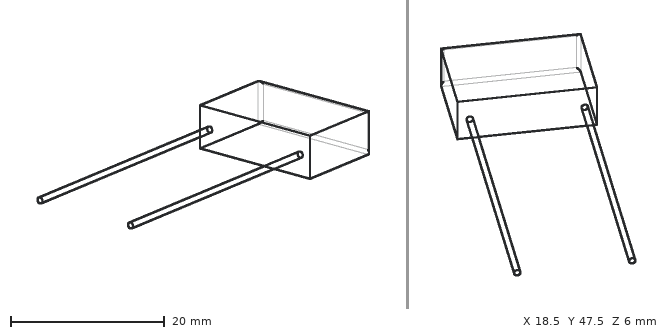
import cadquery as cq

overall_length = 47.5
case_width = 18.5
case_depth = 12.5
case_height = 6.0
back_edge_radius = 0.48

lead_diameter = 0.85
lead_pitch = 15.2
lead_length = overall_length - case_depth


def make_case():
    """Rectangular case with its front face on Y = 0 and the rim of its back face rounded."""
    case = cq.Workplane("XY").box(case_width, case_depth, case_height, centered=(True, False, True))
    return case.faces(">Y").edges().fillet(back_edge_radius)


def make_lead(x):
    """Straight round wire running from the front face of the case toward -Y."""
    return cq.Workplane("XZ").center(x, 0).circle(lead_diameter / 2).extrude(lead_length)


case = make_case()
leads = [make_lead(side * lead_pitch / 2) for side in (-1, 1)]

result = cq.Compound.makeCompound([case.val(), *[lead.val() for lead in leads]])